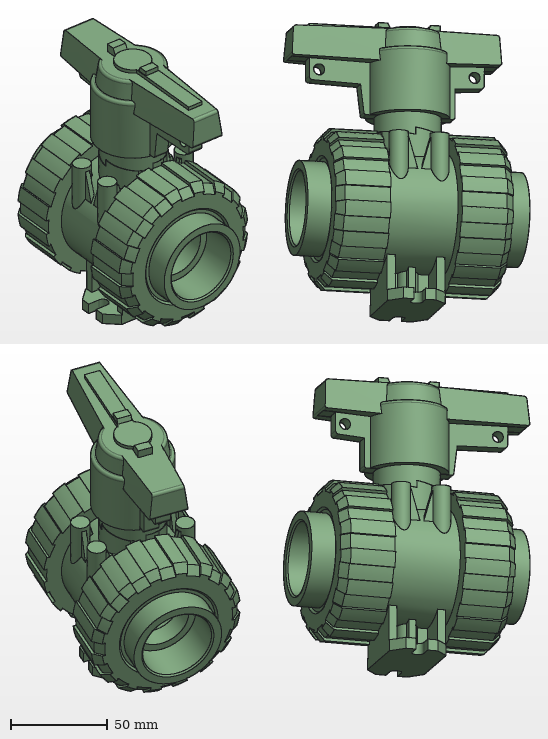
import cadquery as cq
import math


flow_r = 15.5
body_r = 32.0
body_half_length = 26.5

pillar_r = 5.0
pillar_x = 10.9
pillar_y = 25.0
pillar_top = 37.5
rib_thickness = 2.7
rib_top = 35.1
rib_slope = 0.29
cross_rib_offset = 1.8

neck_r = 17.7
neck_half_width = 15.7
ramp_low = 38.5
ramp_high = 42.4
ramp_inner_r = 9.1
ramp_outer_r = 19.7
ramp_count = 4

foot_bottom = -51.1
foot_top = -45.2
foot_half_x = 15.5
foot_half_y = 26.3
foot_corner_x = 6.8
foot_corner_y = 7.3
foot_slot_r = 3.2
foot_slot_depth = 6.8
leg_thickness = 4.4
leg_half_y = 18.3
web_thickness = 0.9
foot_rib_thickness = 3.6
post_r = 5.5
foot_rib_half_y = 9.8

nut_inner_x = 19.0
nut_outer_x = 47.3
nut_r = 42.0
groove_depth = 1.7
groove_width = 8.2
groove_count = 16
nut_chamfer_length = 4.1
nut_chamfer_height = 4.4
nut_mouth_r = 26.7
nut_mouth_chamfer = 1.13

pipe_end_x = 59.3
pipe_r = 24.73
socket_r = 19.44
socket_depth = 21.6
socket_chamfer = 0.9
flange_outer_x = 33.3

hub_r = 22.0
hub_bottom = 50.7
hub_top = 84.9
hub_fillet = 1.8
cone_base_r = 19.4
cone_top_r = 17.77
arm_top = 95.6
collar_r = 17.47
collar_top = 66.5

arm_end_bottom = 79.4
arm_hub_bottom = 78.0
arm_left_top = -46.9
arm_left_bottom = -47.8
arm_right_top = 62.8
arm_right_bottom = 64.1
arm_left_half_top = 9.0
arm_left_half_bottom = 11.0
arm_mid_half_top = 11.8
arm_mid_half_bottom = 14.2
arm_right_half_top = 7.7
arm_right_half_bottom = 9.8
arm_top_fillet = 1.7
arm_bottom_fillet = 1.0
arm_hub_x = 15.1

fin_half_width = 4.2
fin_gap = 0.9
fin_left = -40.0
fin_right = 53.5
fin_end_bottom = 67.8
fin_step_z = 66.79
fin_left_step = -24.4
fin_right_step = 26.2
fin_right_foot = 24.2
fin_end_fillet = 1.8
fin_foot_fillet = 1.2
key_hole_r = 2.9
key_hole_z = 73.44
key_hole_xs = (-34.8, 48.3)

cap_r = 9.91
cap_top = 97.5
bar_half_width = 4.4
tab_half_width = 4.01
tab_top = 100.1
tab_outer_x = 16.5
tab_inner_x_top = 11.5
tab_inner_x_bottom = 9.2


def box(x0, x1, y0, y1, z0, z1):
    """Block between opposite corners."""
    return cq.Workplane("XY").box(x1 - x0, y1 - y0, z1 - z0, centered=False).translate((x0, y0, z0))


def disc_x(radius, x0, x1):
    """Cylinder about the X axis."""
    return cq.Workplane("YZ", origin=(x0, 0, 0)).circle(radius).extrude(x1 - x0)


def disc_z(radius, z0, z1, x=0, y=0):
    """Cylinder parallel to the Z axis."""
    return cq.Workplane("XY", origin=(x, y, z0)).circle(radius).extrude(z1 - z0)


def plate_xz(points, half_width, y=0):
    """Flat plate with an XZ outline, centred at the given Y."""
    return cq.Workplane("XZ", origin=(0, y, 0)).polyline(points).close().extrude(half_width, both=True)


def helical_ramps():
    """Four end ramps, each falling through a quarter turn from ramp_high to ramp_low."""
    drop = ramp_high - ramp_low
    path = cq.Wire.makeHelix(ramp_count * drop, drop, ramp_outer_r, lefthand=True)
    profile = (
        cq.Workplane("XZ")
        .moveTo(ramp_inner_r, -drop)
        .lineTo(ramp_outer_r, -drop)
        .lineTo(ramp_outer_r, 0)
        .lineTo(ramp_inner_r, 0)
        .close()
    )
    ramp = profile.sweep(cq.Workplane(path), isFrenet=True).translate((0, 0, ramp_low))
    return [ramp.rotate((0, 0, 0), (0, 0, 1), i * 360 / ramp_count) for i in range(ramp_count)]


def make_neck():
    """Stem neck with two flats, topped by the ramps."""
    neck = disc_z(neck_r, 0, ramp_low)
    for ramp in helical_ramps():
        neck = neck.union(ramp.intersect(disc_z(neck_r, 0, ramp_high)))
    return neck.intersect(box(-neck_half_width, neck_half_width, -neck_r, neck_r, 0, ramp_high))


def make_pillar():
    """Pillar in the +X, +Y corner with one rib toward the YZ plane and one toward the XZ plane."""
    pillar = disc_z(pillar_r, 0, pillar_top, pillar_x, pillar_y)
    rib_base = body_r / 2
    rib_run = rib_slope * (rib_top - rib_base)

    def rib_outline(pillar_centre):
        pillar_edge = pillar_centre - pillar_r
        return [
            (pillar_centre, rib_base),
            (pillar_edge - rib_run, rib_base),
            (pillar_edge, rib_top),
            (pillar_centre, rib_top),
        ]

    rib_along_x = plate_xz(rib_outline(pillar_x), rib_thickness / 2, pillar_y)
    rib_along_y = (
        cq.Workplane("YZ", origin=(pillar_x + cross_rib_offset, 0, 0))
        .polyline(rib_outline(pillar_y))
        .close()
        .extrude(rib_thickness / 2, both=True)
    )
    return pillar.union(rib_along_x).union(rib_along_y)


def make_foot():
    """Mounting foot: slotted plate carried by two legs, a web, a rib and a post."""
    foot = box(-foot_half_x, foot_half_x, -foot_half_y, foot_half_y, foot_bottom, foot_top)
    corner = (
        cq.Workplane("XY", origin=(0, 0, foot_bottom))
        .polyline([
            (foot_half_x - foot_corner_x, foot_half_y),
            (foot_half_x, foot_half_y - foot_corner_y),
            (foot_half_x, foot_half_y),
        ])
        .close()
        .extrude(foot_top - foot_bottom)
    )
    slot_end_y = foot_half_y - foot_slot_depth
    slot = disc_z(foot_slot_r, foot_bottom, foot_top, 0, slot_end_y)
    slot = slot.union(box(-foot_slot_r, foot_slot_r, slot_end_y, foot_half_y, foot_bottom, foot_top))
    half_turn = ((0, 0, 0), (0, 0, 1), 180)
    foot = foot.cut(slot).cut(slot.rotate(*half_turn))
    for cut in (corner, corner.mirror("YZ")):
        foot = foot.cut(cut).cut(cut.mirror("XZ"))
    leg_top = -body_r / 2
    leg_inner_x = foot_half_x - leg_thickness
    leg = box(leg_inner_x, foot_half_x, -leg_half_y, leg_half_y, foot_bottom, leg_top)
    foot = foot.union(leg).union(leg.mirror("YZ"))
    web = box(-leg_inner_x, leg_inner_x, -web_thickness / 2, web_thickness / 2, foot_top, leg_top)
    rib_half = foot_rib_thickness / 2
    rib = box(-rib_half, rib_half, -foot_rib_half_y, foot_rib_half_y, foot_top, leg_top)
    post = disc_z(post_r, foot_top, leg_top)
    return foot.union(web).union(rib).union(post)


def make_body():
    """Valve body with pillars, stem neck, foot and through bore."""
    body = disc_x(body_r, -body_half_length, body_half_length)
    pillar = make_pillar()
    for side in (pillar, pillar.mirror("YZ")):
        body = body.union(side).union(side.mirror("XZ"))
    body = body.union(make_neck()).union(make_foot())
    return body.cut(disc_x(flow_r, -body_half_length, body_half_length))


def make_nut():
    """Union nut on the +X side."""
    def shell(radius):
        return (
            cq.Workplane("XY")
            .polyline([
                (nut_inner_x, 0),
                (nut_inner_x, radius),
                (nut_outer_x - nut_chamfer_length, radius),
                (nut_outer_x, radius - nut_chamfer_height),
                (nut_outer_x, 0),
            ])
            .close()
            .revolve(360, (0, 0, 0), (1, 0, 0))
        )

    core = shell(nut_r - groove_depth)
    rim = shell(nut_r)
    for i in range(groove_count):
        groove = box(nut_inner_x, nut_outer_x, -groove_width / 2, groove_width / 2, body_r, nut_r)
        rim = rim.cut(groove.rotate((0, 0, 0), (1, 0, 0), i * 360 / groove_count))
    nut = rim.union(core)
    nut = nut.cut(disc_x(body_r, nut_inner_x, flange_outer_x))
    nut = nut.cut(disc_x(nut_mouth_r, flange_outer_x, nut_outer_x))
    return nut.faces(">X").edges(cq.selectors.RadiusNthSelector(0)).chamfer(nut_mouth_chamfer)


def make_pipe_end():
    """Socket pipe end on the +X side, held by its flange against the body."""
    pipe = disc_x(pipe_r, body_half_length, pipe_end_x)
    pipe = pipe.union(disc_x(body_r, body_half_length, flange_outer_x))
    pipe = pipe.union(disc_x(nut_mouth_r, flange_outer_x, nut_outer_x - nut_mouth_chamfer))
    pipe = pipe.cut(disc_x(flow_r, body_half_length, pipe_end_x))
    pipe = pipe.cut(disc_x(socket_r, pipe_end_x - socket_depth, pipe_end_x))
    return pipe.faces(">X").edges(cq.selectors.RadiusNthSelector(0)).chamfer(socket_chamfer)


def make_hub():
    """Round hub with the tapered boss that reaches the top of the arms."""
    hub = disc_z(hub_r, hub_bottom, hub_top).faces(">Z").edges().fillet(hub_fillet)
    cone = (
        cq.Workplane("XZ")
        .polyline([
            (0, hub_bottom),
            (cone_base_r, hub_bottom),
            (cone_base_r, hub_top),
            (cone_top_r, arm_top),
            (0, arm_top),
        ])
        .close()
        .revolve(360, (0, 0, 0), (0, 1, 0))
        .faces(">Z").edges().fillet(hub_fillet)
    )
    return hub.union(cone)


def make_arm():
    """Two drafted arms that narrow toward their ends."""
    def outline(left, right, left_half, mid_half, right_half):
        return [(left, -left_half), (0, -mid_half), (right, -right_half),
                (right, right_half), (0, mid_half), (left, left_half)]

    top = outline(arm_left_top, arm_right_top, arm_left_half_top, arm_mid_half_top, arm_right_half_top)
    bottom = outline(arm_left_bottom, arm_right_bottom,
                     arm_left_half_bottom, arm_mid_half_bottom, arm_right_half_bottom)
    arm = (
        cq.Workplane("XY", origin=(0, 0, arm_hub_bottom))
        .polyline(bottom).close()
        .workplane(offset=arm_top - arm_hub_bottom)
        .polyline(top).close()
        .loft(ruled=True)
    )
    arm = arm.faces(">Z").edges("|Y").fillet(arm_top_fillet)
    for end_x in (arm_left_bottom, arm_right_bottom):
        underside = plate_xz(
            [(math.copysign(arm_hub_x, end_x), arm_hub_bottom), (end_x, arm_hub_bottom), (end_x, arm_end_bottom)],
            arm_mid_half_bottom,
        )
        arm = arm.cut(underside)
    return arm.edges("<X or >X").fillet(arm_bottom_fillet)


def make_fin():
    """Flat centre fin under the arms, with a hole near each end."""
    fin = plate_xz(
        [(fin_left, arm_end_bottom + arm_top_fillet), (fin_left, fin_end_bottom), (fin_left_step, fin_step_z),
         (fin_left_step, hub_bottom), (fin_right_foot, hub_bottom), (fin_right_step, fin_step_z),
         (fin_right, fin_end_bottom), (fin_right, arm_end_bottom + arm_top_fillet)],
        fin_half_width,
    )
    fin = fin.edges("|Y").edges("<Z").fillet(fin_foot_fillet)
    for end_x in (fin_left, fin_right):
        end_corner = cq.selectors.BoxSelector(
            (end_x - fin_end_fillet, -fin_half_width, fin_end_bottom - fin_end_fillet),
            (end_x + fin_end_fillet, fin_half_width, fin_end_bottom + fin_end_fillet),
        )
        fin = fin.edges(end_corner).fillet(fin_end_fillet)
    holes = cq.Workplane("XZ").pushPoints([(x, key_hole_z) for x in key_hole_xs])
    return fin.cut(holes.circle(key_hole_r).extrude(fin_half_width, both=True))


def make_top_details():
    """Centre cap, pointer bar and the two tabs on top of the handle."""
    cap = disc_z(cap_r, arm_top, cap_top)
    bar = box(0, fin_right, -bar_half_width, bar_half_width, arm_top, cap_top)
    tab = plate_xz(
        [
            (tab_outer_x, arm_top),
            (tab_outer_x, tab_top),
            (tab_inner_x_top, tab_top),
            (tab_inner_x_bottom, arm_top),
        ],
        tab_half_width,
    )
    return cap.union(bar).union(tab).union(tab.mirror("YZ"))


def make_handle():
    """Handle with the collar that turns on the neck ramps."""
    handle = make_hub().union(make_arm())
    slot_half = fin_half_width + fin_gap
    handle = handle.cut(box(arm_left_bottom, arm_right_bottom, -slot_half, slot_half, hub_bottom, arm_end_bottom))
    collar = disc_z(collar_r, ramp_low, collar_top)
    for ramp in helical_ramps():
        collar = collar.cut(ramp)
    return handle.union(collar).union(make_fin()).union(make_top_details())


body = make_body()
handle = make_handle()
nut = make_nut()
pipe_end = make_pipe_end()
nuts = [side.val() for side in (nut, nut.mirror("YZ"))]
pipe_ends = [side.val() for side in (pipe_end, pipe_end.mirror("YZ"))]

result = cq.Compound.makeCompound([body.val(), handle.val(), *nuts, *pipe_ends])